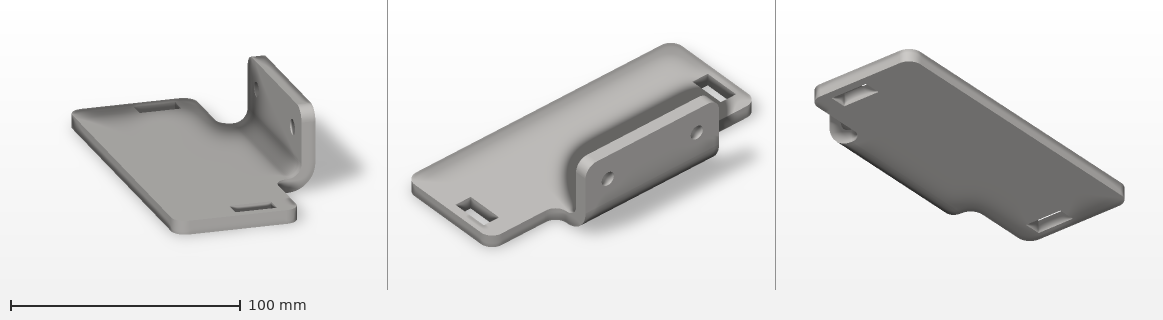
import cadquery as cq

length = 152.4
depth = 76.2
height = 38.1
thickness = length / 24
inner_bend_radius = thickness
outer_bend_radius = inner_bend_radius + thickness
corner_radius = thickness

tab_width = length / 2
plate_depth = 57.2
plate_back = plate_depth - depth / 2

hole_diameter = 7.0
hole_spacing = length / 3
hole_height = height * 2 / 3

slot_width = 8.7
slot_length = 19.0
slot_edge_gap = 4.3
slot_back_gap = 9.5
slot_x = length / 2 - slot_edge_gap - slot_width / 2
slot_y = plate_back - slot_back_gap - slot_length / 2


def make_bent_strip():
    """L-shaped sheet profile, running from the plate front to the tab top."""
    front = -depth / 2
    back = depth / 2
    return (
        cq.Workplane("YZ")
        .moveTo(front, 0)
        .lineTo(back - outer_bend_radius, 0)
        .radiusArc((back, outer_bend_radius), -outer_bend_radius)
        .lineTo(back, height)
        .lineTo(back - thickness, height)
        .lineTo(back - thickness, outer_bend_radius)
        .radiusArc((back - outer_bend_radius, thickness), inner_bend_radius)
        .lineTo(front, thickness)
        .close()
        .extrude(tab_width / 2, both=True)
        .edges("|Y and >Z")
        .fillet(corner_radius)
    )


def make_plate():
    """Wide flat plate with rounded corners."""
    return (
        cq.Workplane("XY")
        .box(length, plate_depth, thickness, centered=(True, False, False))
        .translate((0, -depth / 2, 0))
        .edges("|Z")
        .fillet(corner_radius)
    )


def round_neck(body):
    """Fillet the inside corners where the tab leaves the plate."""
    for side in (-1, 1):
        corner = (side * tab_width / 2, plate_back, thickness / 2)
        body = body.edges(cq.selectors.NearestToPointSelector(corner)).fillet(corner_radius)
    return body


def make_slots():
    return (
        cq.Workplane("XY")
        .pushPoints([(-slot_x, slot_y), (slot_x, slot_y)])
        .rect(slot_width, slot_length)
        .extrude(thickness)
    )


def make_holes():
    return (
        cq.Workplane("XZ", origin=(0, depth / 2, 0))
        .pushPoints([(-hole_spacing / 2, hole_height), (hole_spacing / 2, hole_height)])
        .circle(hole_diameter / 2)
        .extrude(thickness)
    )


bracket = round_neck(make_plate().union(make_bent_strip()))
result = bracket.cut(make_slots()).cut(make_holes())